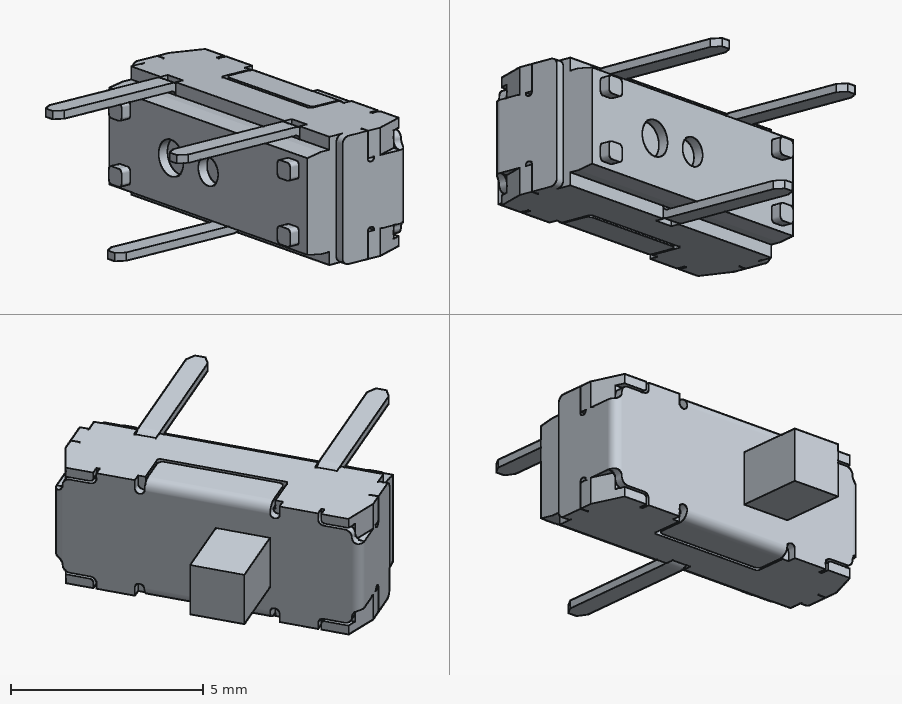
import cadquery as cq
import math


length = 8.5
height = 3.5
sheet = 0.255
half_length = length / 2
half_height = height / 2
core_half_length = half_length - sheet

cover_depth = 2.45
ledge_half_height = 1.39
taper_start = 2.74
base_depth = 3.2
base_half_height = 1.32

end_plate_depth = 2.21
end_plate_round = 0.2
corner_round = sheet

end_tab_half_height = 1.0
ear_chamfer_x = 0.35
ear_chamfer_y = 0.935
ear_bottom = 1.48
relief_radius = 0.2
slit_end = 1.35
slit_width = 0.02
slit_relief_radius = 0.11

ear_slot_end = 3.06
ear_slot_width = 0.085
ear_slot_corner_radius = 0.17

guide_half_length = 1.73
guide_end = 1.13
guide_bend_radius = 0.29
guide_corner_radius = 0.15
guide_side_gap = 0.06
guide_end_gap = 0.11
guide_gap_corner_radius = 0.08
guide_relief_width = 0.26

pin_pitch = 2.5
pin_width = 0.6
pin_thickness = 0.23
pin_bend_radius = 0.39
pin_back = 2.2
pin_tip = 6.5
pin_taper = 0.26
pin_tip_width = 0.29

peg_length = 0.52
peg_height = 0.49
peg_depth = 0.3
peg_round = 0.11
peg_x = 3.4
peg_z = 0.9
large_hole_diameter = 1.0
large_hole_x = -1.5
small_hole_diameter = 0.8
blind_hole_depth = 0.3

slider_width = 1.5
slider_reach = length - pin_tip


def box(x_min, x_max, y_min, y_max, z_min, z_max):
    """Box between the given limits."""
    size = (x_max - x_min, y_max - y_min, z_max - z_min)
    return cq.Workplane("XY").box(*size, centered=False).translate((x_min, y_min, z_min))


def front_cut(profile):
    """Extrude an XZ profile, drawn at Y = 0, through the front plate."""
    return profile.extrude(sheet)


def in_both_heights(shape):
    """The shape and its mirror image below the middle plane."""
    return shape.union(shape.mirror("XY"))


def in_four_corners(shape):
    """The shape at one corner, repeated by symmetry at all four."""
    return in_both_heights(shape.union(shape.mirror("YZ")))


def make_shell():
    """Base section with the two end plates, before any detail."""
    profile = [
        (0, half_height),
        (-cover_depth, half_height),
        (-cover_depth, ledge_half_height),
        (-taper_start, ledge_half_height),
        (-base_depth, base_half_height),
    ]
    mirrored = [(y, -z) for y, z in reversed(profile)]
    core = cq.Workplane("YZ").polyline(profile + mirrored).close()
    core = core.extrude(core_half_length, both=True)
    cover = box(-half_length, half_length, -end_plate_depth, 0, -half_height, half_height)
    cover = cover.edges("|X and <Y").fillet(end_plate_round)
    cover = cover.edges("|Z and >Y").fillet(corner_round)
    return cover.union(core)


def make_ear_chamfers():
    """Sloped ends of the ears, which are the cover corners above and below the end tabs."""
    slope = ear_chamfer_x / ear_chamfer_y
    x_behind_plate = -half_length + (ear_chamfer_y - sheet) * slope
    upper = (
        cq.Workplane("XY", origin=(0, 0, ear_bottom))
        .moveTo(-half_length, -ear_chamfer_y)
        .lineTo(-half_length + ear_chamfer_x, 0)
        .lineTo(-half_length, 0)
        .close()
        .extrude(half_height - ear_bottom)
    )
    lower = (
        cq.Workplane("XY", origin=(0, 0, end_tab_half_height))
        .moveTo(-half_length, -ear_chamfer_y)
        .lineTo(x_behind_plate, -sheet)
        .lineTo(-half_length, -sheet)
        .close()
        .extrude(ear_bottom - end_tab_half_height)
    )
    return in_four_corners(upper.union(lower))


def make_corner_reliefs():
    """S-shaped edge of the front plate from the end tab up to the ear, and the L-shaped slot after it."""
    r = relief_radius
    s = r * math.sqrt(0.5)
    x_mid = -core_half_length
    z_mid = end_tab_half_height + r
    s_edge = (
        cq.Workplane("XZ")
        .moveTo(-half_length, end_tab_half_height)
        .lineTo(x_mid - r, end_tab_half_height)
        .threePointArc((x_mid - r + s, z_mid - s), (x_mid, z_mid))
        .threePointArc((x_mid + r - s, z_mid + s), (x_mid + r, z_mid + r))
        .lineTo(x_mid + r, ear_bottom)
        .lineTo(-half_length, ear_bottom)
        .close()
    )
    slot_floor = z_mid + r
    outer = ear_slot_corner_radius
    inner = outer - (ear_bottom - slot_floor)
    slot = (
        cq.Workplane("XZ")
        .moveTo(x_mid + r, slot_floor)
        .lineTo(-ear_slot_end - outer, slot_floor)
        .radiusArc((-ear_slot_end, slot_floor + outer), -outer)
        .lineTo(-ear_slot_end, half_height)
        .lineTo(-ear_slot_end - ear_slot_width, half_height)
        .lineTo(-ear_slot_end - ear_slot_width, ear_bottom + inner)
        .radiusArc((-ear_slot_end - ear_slot_width - inner, ear_bottom), inner)
        .lineTo(x_mid + r, ear_bottom)
        .close()
    )
    return in_four_corners(front_cut(s_edge).union(front_cut(slot)))


def make_end_slits():
    """Thin slit in the end plate behind each ear, with a half-round relief at its foot."""
    slit = box(
        -half_length, -core_half_length, -slit_end, -slit_end + slit_width, end_tab_half_height, half_height
    )
    relief = (
        cq.Workplane("YZ", origin=(-half_length, 0, 0))
        .moveTo(-slit_end, end_tab_half_height)
        .lineTo(-slit_end + 2 * slit_relief_radius, end_tab_half_height)
        .threePointArc(
            (-slit_end + slit_relief_radius, end_tab_half_height - slit_relief_radius),
            (-slit_end, end_tab_half_height),
        )
        .close()
        .extrude(sheet)
    )
    return in_four_corners(slit.union(relief))


def make_guide_gaps():
    """Gap around each guide tab, the rounded bend of the tab, and the reliefs beside the bend."""
    floor = half_height - sheet
    gap_x = guide_half_length + guide_side_gap
    gap_end = guide_end + guide_end_gap
    opening = box(-gap_x, gap_x, -gap_end, 0, floor, half_height)
    opening = opening.edges("|Z and <Y").fillet(guide_gap_corner_radius)
    tab = box(-guide_half_length, guide_half_length, -guide_end, 0, floor - sheet, half_height)
    tab = tab.edges("|Z and <Y").fillet(guide_corner_radius)
    tab = tab.edges("|X and >Y and >Z").fillet(guide_bend_radius)
    bend_foot = half_height - guide_bend_radius
    bend_block = box(-guide_half_length, guide_half_length, -guide_bend_radius, 0, bend_foot, half_height)
    gap = opening.union(bend_block).cut(tab)
    radius = guide_relief_width / 2
    for side in (-1, 1):
        x = side * (guide_half_length + radius)
        slot = box(x - radius, x + radius, -sheet, 0, floor, half_height)
        foot = front_cut(cq.Workplane("XZ").center(x, floor).circle(radius))
        gap = gap.union(slot).union(foot)
    return in_both_heights(gap)


def make_pin_notch():
    """Clearance for one pin through the back edge of the cover, at the top of the housing."""
    bend_centre_z = half_height - pin_bend_radius
    return box(-pin_width / 2, pin_width / 2, -cover_depth, -pin_back, bend_centre_z, half_height)


def make_pin():
    """Pin flush with the top of the housing: up out of the base, round the bend and out toward -Y."""
    inner_radius = pin_bend_radius - pin_thickness
    bend_y = -pin_back - pin_bend_radius
    bend_z = half_height - pin_bend_radius
    root_z = bend_z - pin_thickness
    side_profile = (
        cq.Workplane("YZ")
        .moveTo(-pin_back, root_z)
        .lineTo(-pin_back, bend_z)
        .radiusArc((bend_y, half_height), -pin_bend_radius)
        .lineTo(-pin_tip, half_height)
        .lineTo(-pin_tip, half_height - pin_thickness)
        .lineTo(bend_y, half_height - pin_thickness)
        .radiusArc((bend_y + inner_radius, bend_z), inner_radius)
        .lineTo(bend_y + inner_radius, root_z)
        .close()
    )
    pin = side_profile.extrude(pin_width / 2, both=True)
    tip_chamfer = (pin_width - pin_tip_width) / 2
    return pin.faces("<Y").edges("|Z").chamfer(pin_taper, tip_chamfer)


def at_pin_places(shape):
    """Two copies at the top of the housing and one, upside down, in the middle of the bottom."""
    places = shape.mirror("XY")
    for side in (-1, 1):
        places = places.union(shape.translate((side * pin_pitch, 0, 0)))
    return places


def make_pegs():
    """Four rounded pegs on the seating face."""
    spots = [(x, z) for x in (-peg_x, peg_x) for z in (-peg_z, peg_z)]
    pegs = (
        cq.Workplane("XZ", origin=(0, -base_depth, 0))
        .pushPoints(spots)
        .rect(peg_length, peg_height)
        .extrude(peg_depth)
    )
    return pegs.edges("|Y").fillet(peg_round)


def make_blind_hole(x, diameter):
    """Round blind hole in the seating face."""
    hole = cq.Workplane("XZ", origin=(x, -base_depth, 0)).circle(diameter / 2)
    return hole.extrude(-blind_hole_depth)


def make_housing():
    """Housing with its cover details, pins and pegs as one solid."""
    housing = make_shell()
    housing = housing.cut(make_ear_chamfers())
    housing = housing.cut(make_corner_reliefs())
    housing = housing.cut(make_end_slits())
    housing = housing.cut(make_guide_gaps())
    housing = housing.cut(at_pin_places(make_pin_notch()))
    housing = housing.cut(make_blind_hole(large_hole_x, large_hole_diameter))
    housing = housing.cut(make_blind_hole(0, small_hole_diameter))
    housing = housing.union(at_pin_places(make_pin()))
    return housing.union(make_pegs())


def make_slider():
    """Square slider at the left end of its travel, level with the end of the guide tabs."""
    return box(
        -guide_half_length,
        -guide_half_length + slider_width,
        0,
        slider_reach,
        -slider_width / 2,
        slider_width / 2,
    )


housing = make_housing()
slider = make_slider()
result = cq.Compound.makeCompound([housing.val(), slider.val()])